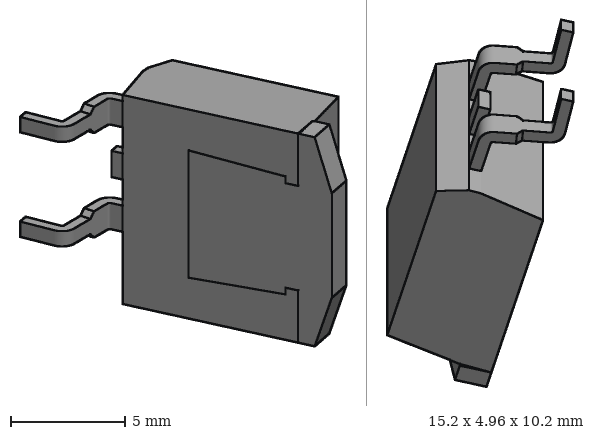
import cadquery as cq
import math

package_width = 10.17
housing_depth = 4.85
housing_back_width = 9.33
nose_x = 4.51
left_edge_x = 5.01
right_back_x = 13.14
right_front_x = 13.6

slug_thickness = 1.43
slug_end_x = 15.24
slug_corner_x = 14.4
slug_left_x = 8.25
slug_neck_x = 12.97
slug_left_half = 3.1
slug_right_half = 2.87
slug_neck_half = package_width / 4

lead_thickness = 0.55
lead_front_y = 2.94
lead_back_y = lead_front_y + lead_thickness
lead_pitch = package_width / 2
lead_width = 1.28
foot_width = 0.75
leg_tilt = math.radians(10)
foot_tilt = math.radians(3.5)
leg_corner_x = 2.41
foot_tip_y = 0
inner_bend_radius = 0.1
outer_bend_radius = inner_bend_radius + lead_thickness
shoulder_y = 1.97
shoulder_height = (lead_width - foot_width) / 2
stub_left_x = 2.99


def make_slug():
    half = package_width / 2
    upper_outline = [
        (slug_left_x, slug_left_half),
        (slug_neck_x, slug_right_half),
        (slug_neck_x, slug_neck_half),
        (right_front_x, slug_neck_half),
        (right_front_x, half),
        (slug_corner_x, half),
        (slug_end_x, slug_neck_half),
    ]
    lower_outline = [(x, -z) for x, z in reversed(upper_outline)]
    return cq.Workplane("XZ").polyline(upper_outline + lower_outline).close().extrude(-slug_thickness)


def make_housing(slug):
    side_outline = [
        (left_edge_x, 0),
        (nose_x, lead_front_y),
        (nose_x, lead_back_y),
        (left_edge_x, housing_depth),
        (right_back_x, housing_depth),
        (right_front_x, slug_thickness),
        (right_front_x, 0),
    ]
    block = cq.Workplane("XY").polyline(side_outline).close().extrude(package_width / 2, both=True)
    end_outline = [
        (0, -package_width / 2),
        (housing_depth, -housing_back_width / 2),
        (housing_depth, housing_back_width / 2),
        (0, package_width / 2),
    ]
    taper = cq.Workplane("YZ").polyline(end_outline).close().extrude(slug_end_x)
    return block.intersect(taper).cut(slug)


def make_lead_strip():
    """Full-width bent strip: a shank, a tilted leg and a tilted foot, with rounded bends."""
    leg_slope = math.tan(leg_tilt)
    foot_slope = math.tan(foot_tilt)
    leg_shift = lead_thickness / math.cos(leg_tilt)
    foot_rise = lead_thickness / math.cos(foot_tilt)

    def leg_left(y):
        return leg_corner_x + (y - lead_back_y) * leg_slope

    def foot_meets_leg(leg_offset, foot_offset):
        x = leg_left(foot_tip_y + foot_offset) + leg_offset
        x /= 1 + leg_slope * foot_slope
        return x, foot_tip_y + foot_offset - x * foot_slope

    shank_outer = (leg_left(lead_back_y), lead_back_y)
    shank_inner = (leg_left(lead_front_y) + leg_shift, lead_front_y)
    foot_inner = foot_meets_leg(0, foot_rise)
    foot_outer = foot_meets_leg(leg_shift, 0)
    profile = [
        (nose_x, lead_back_y),
        shank_outer,
        foot_inner,
        (0, foot_tip_y + foot_rise),
        (0, foot_tip_y),
        foot_outer,
        shank_inner,
        (nose_x, lead_front_y),
    ]
    strip = cq.Workplane("XY").polyline(profile).close().extrude(lead_width / 2, both=True)

    def bend_edge(corner):
        return cq.selectors.NearestToPointSelector((*corner, 0))

    for corner in (shank_outer, foot_outer):
        strip = strip.edges(bend_edge(corner)).fillet(outer_bend_radius)
    for corner in (shank_inner, foot_inner):
        strip = strip.edges(bend_edge(corner)).fillet(inner_bend_radius)
    return strip


def make_lead(center_z):
    """Bent lead that narrows through 45 degree shoulders on its leg."""
    shoulder_x = leg_corner_x + (shoulder_y - lead_back_y) * math.tan(leg_tilt)
    leg_plane = cq.Plane(
        origin=(shoulder_x, shoulder_y, 0),
        xDir=(math.sin(leg_tilt), math.cos(leg_tilt), 0),
        normal=(math.cos(leg_tilt), -math.sin(leg_tilt), 0),
    )
    reach = slug_end_x
    upper_outline = [
        (-reach, foot_width / 2),
        (-shoulder_height, foot_width / 2),
        (0, lead_width / 2),
        (reach, lead_width / 2),
    ]
    lower_outline = [(u, -z) for u, z in reversed(upper_outline)]
    envelope = cq.Workplane(leg_plane).polyline(upper_outline + lower_outline).close()
    envelope = envelope.extrude(reach, both=True)
    return make_lead_strip().intersect(envelope).translate((0, 0, center_z))


def make_stub():
    return cq.Workplane("XY").box(
        nose_x - stub_left_x, lead_thickness, lead_width, centered=(False, False, True)
    ).translate((stub_left_x, lead_front_y, 0))


slug = make_slug()
housing = make_housing(slug)
leads = [make_lead(side * lead_pitch / 2) for side in (-1, 1)]
stub = make_stub()

result = cq.Compound.makeCompound([housing.val(), slug.val(), stub.val(), *[lead.val() for lead in leads]])